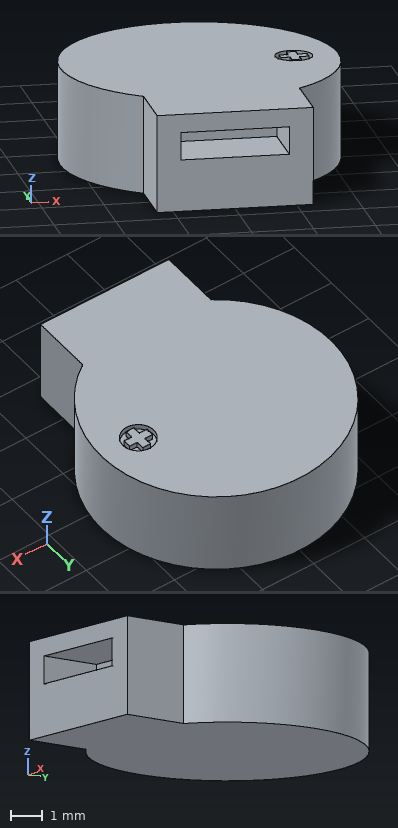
import cadquery as cq

total_length = 10.5
disk_diameter = 9.0
thickness = 3.2
tab_width = 5.04
disk_radius = disk_diameter / 2
tab_front_y = disk_radius - total_length

slot_width = 3.5
slot_height = 0.9
slot_top_margin = 0.6
slot_depth = 2.1

recess_diameter = 1.2
recess_depth = 0.2
recess_x = 3.06
cross_span = 0.9
cross_arm_width = 0.3


def make_housing():
    disk = cq.Workplane("XY").circle(disk_radius).extrude(thickness)
    tab = cq.Workplane("XY").box(
        tab_width, -tab_front_y, thickness, centered=(True, False, False)
    )
    return disk.union(tab.translate((0, tab_front_y, 0)))


def make_slot():
    slot_bottom_z = thickness - slot_top_margin - slot_height
    slot = cq.Workplane("XY").box(
        slot_width, slot_depth, slot_height, centered=(True, False, False)
    )
    return slot.translate((0, tab_front_y, slot_bottom_z))


def make_cross_recess():
    """Cylinder to remove, minus the cross that stays in place."""
    floor = cq.Workplane("XY", origin=(recess_x, 0, thickness - recess_depth))
    recess = floor.circle(recess_diameter / 2).extrude(recess_depth)
    arm_along_x = floor.rect(cross_span, cross_arm_width).extrude(recess_depth)
    arm_along_y = floor.rect(cross_arm_width, cross_span).extrude(recess_depth)
    return recess.cut(arm_along_x).cut(arm_along_y)


result = make_housing().cut(make_slot()).cut(make_cross_recess())